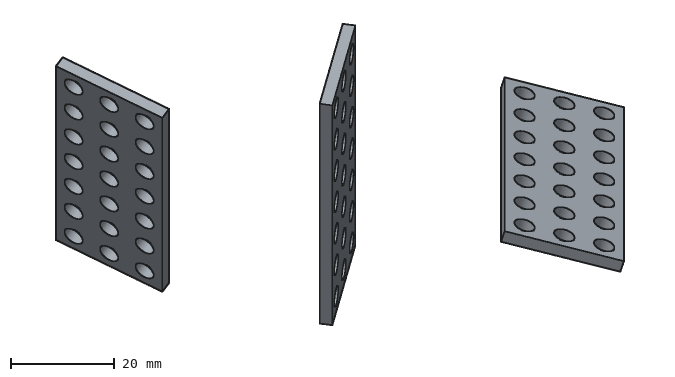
import cadquery as cq

height = 56.0
columns = 3
rows = 7
thickness = 2.5
hole_diameter = 4.1

pitch = height / rows
width = columns * pitch

plate = cq.Workplane("XY").box(width, thickness, height)

result = (
    plate.faces("<Y")
    .workplane(centerOption="CenterOfBoundBox")
    .rarray(pitch, pitch, columns, rows)
    .hole(hole_diameter)
)